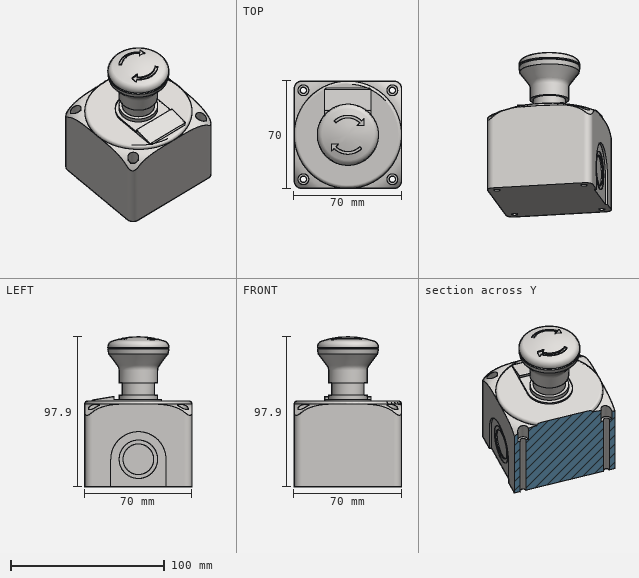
import cadquery as cq
import math

box_side = 70.0
box_corner_radius = 4.9
box_top = 56.0
rim_radius = box_side / 2
rim_fillet = 2.0
shoulder_height = box_top - rim_fillet
shoulder_arc_radius = 14.2
screw_offset = 29.0
screw_hole_radius = 2.0
screw_head_radius = 3.5
screw_head_floor = 44.1

entry_radius = 18.0
entry_depth = 1.4
knockout_outer_radius = 12.5
knockout_outer_depth = 0.3
knockout_inner_radius = 10.0
knockout_inner_depth = 0.8

plate_radius = 15.1
plate_thickness = 1.1
plate_end = 30.5
plate_end_chamfer = 1.1
ramp_foot = 29.7
ramp_foot_rise = 0.7
ramp_crest_far = 16.7
ramp_crest_near = 15.8
ramp_rise = 2.8

collar_radius = 12.6
collar_top = 59.8
neck_radius = 10.6
neck_top = 67.8
sleeve_radius = 12.6
sleeve_top = 76.1
flare_radius = 13.5
flare_top = 78.8
cone_radius = 19.4
cone_top = 86.6
head_radius = 20.0
groove_bottom = 89.8
groove_top = 90.95
groove_depth = 0.6
dome_radius = 17.0
dome_base = 95.1
button_top = 97.9

arrow_radius = 11.8
arrow_width = 1.8
arrow_head_half_width = 3.2
arrow_head_length = 3.2
arrow_tail_angle = 135.0
arrow_head_angle = 45.0
arrow_floor = 95.7


def polar(radius, angle):
    """Point at a radius and an angle in degrees."""
    return (radius * math.cos(math.radians(angle)), radius * math.sin(math.radians(angle)))


def make_crown():
    """Revolved envelope that gives the housing its rim and rounded shoulder."""
    shoulder_end = rim_radius + shoulder_arc_radius
    shoulder_mid_x, shoulder_mid_z = polar(shoulder_arc_radius, 45)
    arc_center_z = shoulder_height - shoulder_arc_radius
    fillet_x, fillet_z = polar(rim_fillet, 45)
    return (
        cq.Workplane("XZ")
        .lineTo(shoulder_end, 0)
        .lineTo(shoulder_end, arc_center_z)
        .threePointArc(
            (rim_radius + shoulder_mid_x, arc_center_z + shoulder_mid_z),
            (rim_radius, shoulder_height),
        )
        .threePointArc(
            (rim_radius - rim_fillet + fillet_x, box_top - rim_fillet + fillet_z),
            (rim_radius - rim_fillet, box_top),
        )
        .lineTo(0, box_top)
        .close()
        .revolve(360, (0, 0, 0), (0, 1, 0))
    )


def cut_screw_holes(body):
    """Through holes with deep counterbores at the four corners."""
    corners = [(x, y) for x in (-screw_offset, screw_offset) for y in (-screw_offset, screw_offset)]
    holes = cq.Workplane("XY").pushPoints(corners).circle(screw_hole_radius).extrude(box_top)
    counterbores = (
        cq.Workplane("XY", origin=(0, 0, screw_head_floor))
        .pushPoints(corners)
        .circle(screw_head_radius)
        .extrude(box_top - screw_head_floor)
    )
    return body.cut(holes).cut(counterbores)


def cut_cable_entry(body):
    """Arched recess open at the base, then a ring and a disc sunk deeper."""
    wall = cq.Workplane("YZ", origin=(-box_side / 2, 0, 0))
    ring_depth = entry_depth + knockout_outer_depth
    disc_depth = ring_depth + knockout_inner_depth
    arch = (
        wall.moveTo(-entry_radius, 0)
        .lineTo(-entry_radius, entry_radius)
        .threePointArc((0, 2 * entry_radius), (entry_radius, entry_radius))
        .lineTo(entry_radius, 0)
        .close()
        .extrude(entry_depth)
    )
    ring = wall.center(0, entry_radius).circle(knockout_outer_radius).extrude(ring_depth)
    disc = wall.center(0, entry_radius).circle(knockout_inner_radius).extrude(disc_depth)
    return body.cut(arch).cut(ring).cut(disc)


def make_housing():
    block = (
        cq.Workplane("XY")
        .rect(box_side, box_side)
        .extrude(box_top)
        .edges("|Z")
        .fillet(box_corner_radius)
    )
    return cut_cable_entry(cut_screw_holes(block.intersect(make_crown())))


def make_legend_plate():
    """Side profile of plate and ramp, trimmed to the plate outline."""
    plate_top = box_top + plate_thickness
    ramp_top = box_top + ramp_rise
    profile = (
        cq.Workplane("YZ")
        .polyline([
            (-plate_radius, box_top),
            (plate_end, box_top),
            (ramp_foot, box_top + ramp_foot_rise),
            (ramp_crest_far, ramp_top),
            (ramp_crest_near, ramp_top),
            (ramp_crest_near, plate_top),
            (-plate_radius, plate_top),
        ])
        .close()
        .extrude(plate_radius, both=True)
    )
    outline = (
        cq.Workplane("XY", origin=(0, 0, box_top))
        .moveTo(-plate_radius, 0)
        .threePointArc((0, -plate_radius), (plate_radius, 0))
        .lineTo(plate_radius, plate_end - plate_end_chamfer)
        .lineTo(plate_radius - plate_end_chamfer, plate_end)
        .lineTo(plate_end_chamfer - plate_radius, plate_end)
        .lineTo(-plate_radius, plate_end - plate_end_chamfer)
        .close()
        .extrude(ramp_rise)
    )
    return profile.intersect(outline)


def make_arrow(turn):
    """Curved arrow as a cutter; turn rotates it about the button axis."""
    inner = arrow_radius - arrow_width / 2
    outer = arrow_radius + arrow_width / 2
    middle_angle = (arrow_tail_angle + arrow_head_angle) / 2
    height = button_top - arrow_floor
    base = cq.Workplane("XY", origin=(0, 0, arrow_floor))
    shaft = (
        base.moveTo(*polar(inner, arrow_tail_angle))
        .threePointArc(polar(inner, middle_angle), polar(inner, arrow_head_angle))
        .lineTo(*polar(outer, arrow_head_angle))
        .threePointArc(polar(outer, middle_angle), polar(outer, arrow_tail_angle))
        .close()
        .extrude(height)
    )
    head_x, head_y = polar(arrow_radius, arrow_head_angle)
    reach_x, reach_y = polar(arrow_head_length, arrow_head_angle - 90)
    head = (
        base.polyline([
            polar(arrow_radius - arrow_head_half_width, arrow_head_angle),
            polar(arrow_radius + arrow_head_half_width, arrow_head_angle),
            (head_x + reach_x, head_y + reach_y),
        ])
        .close()
        .extrude(height)
    )
    return shaft.union(head).rotate((0, 0, 0), (0, 0, 1), turn)


def make_button():
    """Collar, neck, sleeve and mushroom head turned about Z, with two arrows."""
    base = box_top + plate_thickness
    round_width = head_radius - dome_radius
    round_height = dome_base - groove_top
    round_radius = (round_width**2 + round_height**2) / (2 * round_width)
    round_x, round_z = polar(round_radius, math.degrees(math.asin(round_height / round_radius)) / 2)
    dome_height = button_top - dome_base
    sphere_radius = (dome_radius**2 + dome_height**2) / (2 * dome_height)
    dome_mid_radius = dome_radius / 2
    dome_mid_z = button_top - sphere_radius + math.sqrt(sphere_radius**2 - dome_mid_radius**2)
    button = (
        cq.Workplane("XZ")
        .moveTo(0, base)
        .lineTo(collar_radius, base)
        .lineTo(collar_radius, collar_top)
        .lineTo(neck_radius, collar_top)
        .lineTo(neck_radius, neck_top)
        .lineTo(sleeve_radius, neck_top)
        .lineTo(sleeve_radius, sleeve_top)
        .tangentArcPoint((flare_radius, flare_top), relative=False)
        .lineTo(cone_radius, cone_top)
        .lineTo(head_radius, groove_bottom)
        .lineTo(head_radius - groove_depth, (groove_bottom + groove_top) / 2)
        .lineTo(head_radius, groove_top)
        .threePointArc(
            (head_radius - round_radius + round_x, groove_top + round_z),
            (dome_radius, dome_base),
        )
        .threePointArc((dome_mid_radius, dome_mid_z), (0, button_top))
        .close()
        .revolve(360, (0, 0, 0), (0, 1, 0))
    )
    for turn in (0, 180):
        button = button.cut(make_arrow(turn))
    return button


housing = make_housing()
legend_plate = make_legend_plate()
button = make_button()
bodies = [housing, legend_plate, button]
result = cq.Compound.makeCompound([body.solids().val() for body in bodies])